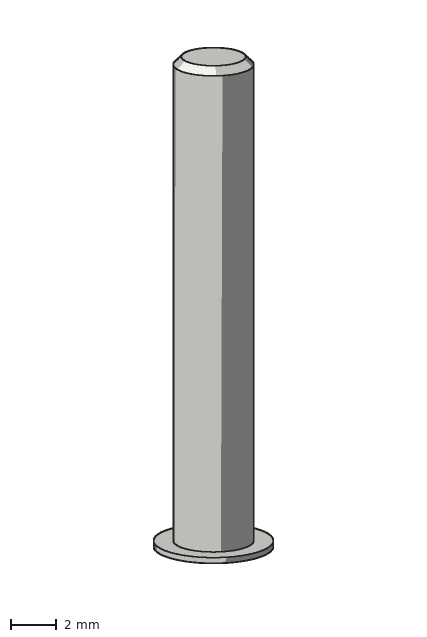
import cadquery as cq

total_height = 22.23
flange_diameter = 5.22
flange_thickness = 0.27
pin_diameter = 3.51
tip_chamfer = 0.35

flange = cq.Workplane("XY").circle(flange_diameter / 2).extrude(flange_thickness)

pin = (
    cq.Workplane("XY")
    .circle(pin_diameter / 2)
    .extrude(total_height)
    .faces(">Z")
    .chamfer(tip_chamfer)
)

result = flange.union(pin)